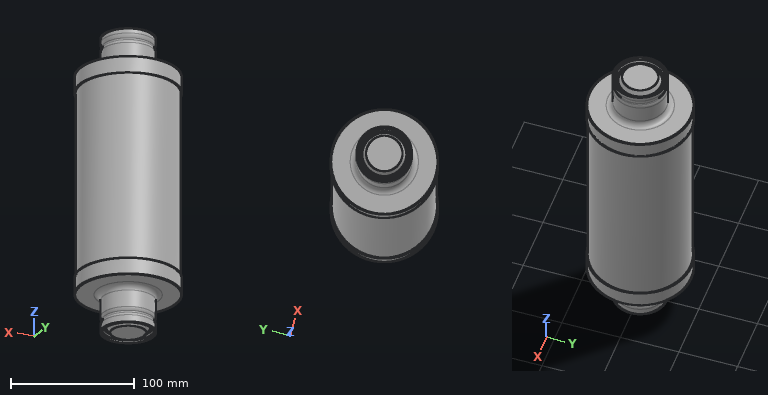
import cadquery as cq

length = 258.0
cap_diameter = 87.0
cap_radius = cap_diameter / 2
shell_radius = 42.5
neck_radius = 22.5

neck_length = 33.3
cap_width = 14.5
cap_chamfer = 0.5
neck_fillet = 5.2

groove_depth = 0.9
groove_radius = neck_radius - groove_depth
groove_bulge = 0.3
shoulder_bulge = 0.2

top_groove = (4.5, 8.3, 9.8, 12.6)
bottom_groove = (6.5, 9.0, 10.5, 13.7)

rim_chamfer = 0.5
rim_inner_radius = 21.5
bevel_radius = 21.0
bevel_depth = 2.0
recess_radius = 19.4
recess_depth = 4.0
plug_top_radius = 14.7
plug_base_radius = 17.8


def neck_end(end_z, outward, groove):
    """Return one cap with its neck; outward is +1 or -1, the way its end face points along Z."""

    def point(radius, distance):
        """Profile point at a radius and a distance inward from the end face."""
        return (radius, end_z - outward * distance)

    groove_start, floor_start, floor_end, groove_end = groove
    shoulder_mid_radius = (neck_radius + groove_radius) / 2 + shoulder_bulge
    fillet_mid = neck_fillet * (1 - 0.5**0.5)
    cap_back = neck_length + cap_width

    profile = (
        cq.Workplane("XZ")
        .moveTo(*point(0, 0))
        .lineTo(*point(plug_top_radius, 0))
        .lineTo(*point(plug_base_radius, recess_depth))
        .lineTo(*point(recess_radius, recess_depth))
        .lineTo(*point(bevel_radius, bevel_depth))
        .lineTo(*point(rim_inner_radius, 0))
        .lineTo(*point(neck_radius - rim_chamfer, 0))
        .lineTo(*point(neck_radius, rim_chamfer))
        .lineTo(*point(neck_radius, groove_start))
        .threePointArc(
            point(shoulder_mid_radius, (groove_start + floor_start) / 2),
            point(groove_radius, floor_start),
        )
        .threePointArc(
            point(groove_radius - groove_bulge, (floor_start + floor_end) / 2),
            point(groove_radius, floor_end),
        )
        .threePointArc(
            point(shoulder_mid_radius, (floor_end + groove_end) / 2),
            point(neck_radius, groove_end),
        )
        .lineTo(*point(neck_radius, neck_length - neck_fillet))
        .threePointArc(
            point(neck_radius + fillet_mid, neck_length - fillet_mid),
            point(neck_radius + neck_fillet, neck_length),
        )
        .lineTo(*point(cap_radius - cap_chamfer, neck_length))
        .lineTo(*point(cap_radius, neck_length + cap_chamfer))
        .lineTo(*point(cap_radius, cap_back))
        .lineTo(*point(0, cap_back))
        .close()
    )
    return profile.revolve(360, (0, 0, 0), (0, 1, 0))


shell_start = neck_length + cap_width
shell = (
    cq.Workplane("XY")
    .workplane(offset=shell_start)
    .circle(shell_radius)
    .extrude(length - 2 * shell_start)
)

top_end = neck_end(length, 1, top_groove)
bottom_end = neck_end(0, -1, bottom_groove)
result = shell.union(top_end).union(bottom_end)